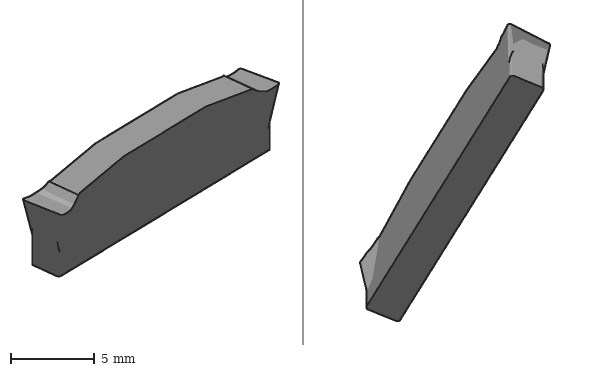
import cadquery as cq
import math

length = 20.12
height = 5.77
shank_width = 2.25
shank_length = 19.35
shank_corner = 0.2

flat_half = 3.75
roof_slope = math.radians(10)
roof_end = 7.75
groove_start = 7.97
groove_end = 9.5
groove_radius = 1.91
lip_slope = math.radians(7)
tip_height = 4.6
outline_overrun = 0.4

head_width = 3.0
front_skew = math.radians(5)
head_corner = 0.16
side_relief = math.tan(math.radians(3))
side_draft = math.tan(math.radians(6.4))
seat_height = 2.55
front_draft = (length - shank_length) / 2 / (tip_height - seat_height)
neck_start = 8.95
neck_draft = math.tan(math.radians(4.4))
neck_taper = 0.31
neck_length = 1.81
head_top = 5.23


def top_outline():
    """Side profile in the YZ plane, both halves alike."""
    end_y = length / 2 + outline_overrun
    end_z = tip_height + outline_overrun * math.tan(lip_slope)
    roof_end_z = height - (roof_end - flat_half) * math.tan(roof_slope)
    groove_end_z = tip_height - (length / 2 - groove_end) * math.tan(lip_slope)
    trough_y = groove_end - groove_radius * math.sin(lip_slope)
    center_z = groove_end_z + groove_radius * math.cos(lip_slope)

    def groove_z(y):
        return center_z - math.sqrt(groove_radius**2 - (y - trough_y) ** 2)

    groove_start_z = groove_z(groove_start)
    trough_z = center_z - groove_radius

    crest_run = groove_start - roof_end
    crest_drop = roof_end_z - groove_start_z
    crest_turn = math.atan2(crest_drop, crest_run) - roof_slope
    crest_bulge = math.hypot(crest_run, crest_drop) / 2 * math.tan(crest_turn / 2)
    return (
        cq.Workplane("YZ", origin=(-head_width, 0, 0))
        .moveTo(-end_y, 0)
        .lineTo(end_y, 0)
        .lineTo(end_y, end_z)
        .lineTo(groove_end, groove_end_z)
        .threePointArc((trough_y, trough_z), (groove_start, groove_start_z))
        .sagittaArc((roof_end, roof_end_z), -crest_bulge)
        .lineTo(flat_half, height)
        .lineTo(-flat_half, height)
        .lineTo(-roof_end, roof_end_z)
        .sagittaArc((-groove_start, groove_start_z), -crest_bulge)
        .threePointArc((-trough_y, trough_z), (-groove_end, groove_end_z))
        .lineTo(-end_y, end_z)
        .close()
        .extrude(2 * head_width)
    )


def head_section(z):
    """Head outline at height z, for the head at the -Y end."""
    depth = tip_height - z
    skew = math.tan(front_skew) * (1 - depth / (tip_height - seat_height))
    tip_y = length / 2 + head_corner * skew - front_draft * depth
    short_y = tip_y - head_width * skew
    neck_y = neck_start - neck_draft * depth
    back_y = neck_y - neck_length

    def side_x(y):
        return head_width / 2 - side_draft * depth - side_relief * (length / 2 - head_corner - y)

    neck_x = side_x(neck_y)
    back_x = neck_x - neck_taper * neck_length
    return [
        (-side_x(tip_y), -tip_y),
        (side_x(short_y), -short_y),
        (neck_x, -neck_y),
        (back_x, -back_y),
        (-back_x, -back_y),
        (-neck_x, -neck_y),
    ]


def head():
    """Head that narrows downwards, with rounded front corners."""
    solid = (
        cq.Workplane("XY")
        .polyline(head_section(0))
        .close()
        .workplane(offset=head_top)
        .polyline(head_section(head_top))
        .close()
        .loft(ruled=True)
    )
    front_edges = solid.faces("<Y").edges("<X or >X")
    return front_edges.fillet(head_corner)


shank = (
    cq.Workplane("XY")
    .box(shank_width, shank_length, height, centered=(True, True, False))
    .edges("|Z")
    .fillet(shank_corner)
)
front_head = head()
rear_head = front_head.rotate((0, 0, 0), (0, 0, 1), 180)
result = shank.union(front_head).union(rear_head).intersect(top_outline())